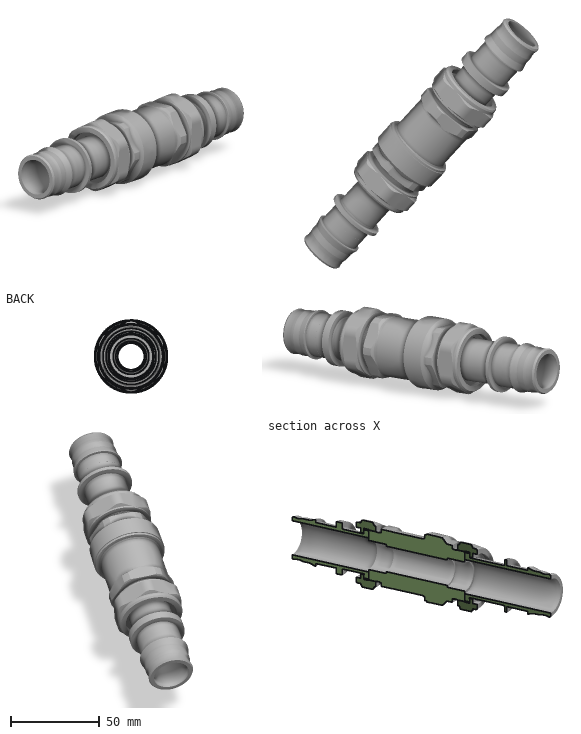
import cadquery as cq
import math


cos_30 = math.cos(math.pi / 6)

total_length = 176.02
tail_end_y = total_length / 2
body_centre_y = 3.25
hex_end = 24.3
nut_gap = 3.35
nut_length = 13.6
nut_inner_face = hex_end + nut_gap
nut_outer_face = nut_inner_face + nut_length

nut_flats = 37.0
nut_corner_radius = 6.5
nut_round_radius = nut_flats / 2
nut_corner_reach = nut_flats / 2 / cos_30
nut_corner_tip = nut_corner_reach - nut_corner_radius * (1 / cos_30 - 1)
nut_chamfer_length = 1.1
nut_inner_band = 1.0
nut_outer_band = 2.9
nut_edge_length = 1.0
nut_edge_height = 0.6
nut_recess_radius = 30.0 / 2
nut_recess_depth = 3.0
nut_lip_length = 2.5
nut_lip_radius = 24.77 / 2

thread_radius = 30.5 / 2
collar_radius = 29.52 / 2
collar_length = 3.0
nut_shoulder = nut_outer_face - nut_recess_depth - nut_lip_length
seat_plane = nut_shoulder - collar_length

tail_bore_radius = 20.32 / 2
tail_tip_radius = 24.77 / 2
lip_radius = 26.11 / 2
lip_length = 1.1
waist_radius = 25.0 / 2
barb_start = 7.5
barb_cone_start = 11.7
barb_end = 16.1
barb_land = 0.6
barb_radius = 28.3 / 2
grip_radius = 25.09 / 2
seam_position = 22.9
root_radius = 25.0 / 2
flange_start = 29.75
flange_radius = 31.75 / 2
front_flange_width = 2.0
rear_flange_width = 4.5
root_cone_length = 0.9
stem_radius = 24.38 / 2

barrel_radius = 34.56 / 2
body_flats = 34.65
body_corner_width = 37.8
body_corner_fillet = 1.5
body_hex_bevel = 0.4
body_hex_bevel_depth = 0.8
neck_radius = 30.0 / 2
neck_collar_length = 0.9
neck_thread_start = 2.9
body_end_bore_radius = 17.3 / 2
body_throat_radius = 15.1 / 2
body_end_bore_depth = 12.0

rear_hex_start = 18.6
rear_cone_knee = 17.1
rear_knee_radius = 17.4
rear_cone_end = 16.2
ring_radius = 41.38 / 2
ring_middle_radius = 41.3 / 2
ring_front_radius = 41.0 / 2
ring_shoulder_radius = 20.1
ring_back = -5.25
ring_shoulder_length = 1.3
ring_front = -17.45
ring_cone_knee = -18.9
ring_knee_radius = 19.0
ring_cone_end = -20.6
ring_foot_size = 0.75


def revolve_about_y(outline):
    return outline.close().revolve(360, (0, 0, 0), (0, 1, 0))


def lathe(profile):
    """Solid of revolution about Y from (radius, y) points."""
    return revolve_about_y(cq.Workplane("XY").polyline(profile))


def y_cylinder(radius, start, end):
    return cq.Workplane("XZ", origin=(0, start, 0)).circle(radius).extrude(start - end)


def hex_prism(flats, corner_angle, start, end):
    """Hexagonal bar along Y with a corner at corner_angle degrees from +X."""
    corner_diameter = flats / cos_30
    bar = cq.Workplane("XZ", origin=(0, start, 0)).polygon(6, corner_diameter).extrude(start - end)
    return bar.rotate((0, 0, 0), (0, 1, 0), corner_angle)


def place(part, side):
    """Move a part, built on the +Y side of the body centre, to its side of the body."""
    if side < 0:
        part = part.mirror("XZ")
    return part.translate((0, body_centre_y, 0))


def make_nut(side):
    prism = hex_prism(nut_flats, 90, nut_inner_face, nut_outer_face)
    prism = prism.edges("|Y").fillet(nut_corner_radius)
    inner_cone = nut_inner_face + nut_inner_band
    outer_cone = nut_outer_face - nut_outer_band
    turned = lathe([
        (0, nut_inner_face),
        (nut_round_radius, nut_inner_face),
        (nut_round_radius, inner_cone),
        (nut_corner_tip, inner_cone + nut_chamfer_length),
        (nut_corner_tip, outer_cone - nut_chamfer_length),
        (nut_round_radius, outer_cone),
        (nut_round_radius, nut_outer_face - nut_edge_length),
        (nut_round_radius - nut_edge_height, nut_outer_face),
        (0, nut_outer_face),
    ])
    nut = prism.intersect(turned)
    nut = nut.cut(y_cylinder(thread_radius, nut_inner_face, nut_shoulder))
    nut = nut.cut(y_cylinder(nut_lip_radius, nut_shoulder, nut_outer_face))
    nut = nut.cut(y_cylinder(nut_recess_radius, nut_outer_face - nut_recess_depth, nut_outer_face))
    return place(nut, side)


def make_tail(side, flange_width):
    tip = tail_end_y - side * body_centre_y
    flange_end = flange_start + flange_width
    lip_y = tip - lip_length
    barb_y = tip - barb_start
    outline = (
        cq.Workplane("XY")
        .moveTo(tail_bore_radius, tip)
        .lineTo(tail_tip_radius, tip)
        .lineTo(lip_radius, lip_y)
        .threePointArc((waist_radius, (lip_y + barb_y) / 2), (lip_radius, barb_y))
        .lineTo(lip_radius, tip - barb_cone_start)
        .lineTo(barb_radius, tip - barb_end + barb_land)
        .lineTo(barb_radius, tip - barb_end)
        .lineTo(grip_radius, tip - barb_end)
        .lineTo(grip_radius, tip - seam_position)
        .lineTo(root_radius, tip - seam_position)
        .lineTo(root_radius, tip - flange_start)
        .lineTo(flange_radius, tip - flange_start)
        .lineTo(flange_radius, tip - flange_end)
        .lineTo(root_radius, tip - flange_end)
        .lineTo(stem_radius, tip - flange_end - root_cone_length)
        .lineTo(stem_radius, nut_shoulder)
        .lineTo(collar_radius, nut_shoulder)
        .lineTo(collar_radius, seat_plane)
        .lineTo(tail_bore_radius, seat_plane)
    )
    return place(revolve_about_y(outline), side)


def make_body_hex(start, end, trim):
    """Hexagon with flattened, softened corners, trimmed by a turned outline."""
    prism = hex_prism(body_flats, 0, start, end)
    flattened = hex_prism(body_corner_width, 30, start, end)
    prism = prism.intersect(flattened).edges("|Y").fillet(body_corner_fillet)
    return prism.intersect(lathe(trim))


def make_body():
    corner = body_corner_width / 2
    rear_hex = make_body_hex(rear_cone_end, hex_end, [
        (0, rear_cone_end),
        (barrel_radius, rear_cone_end),
        (rear_knee_radius, rear_cone_knee),
        (corner, rear_hex_start),
        (corner, hex_end - body_hex_bevel),
        (corner - body_hex_bevel_depth, hex_end),
        (0, hex_end),
    ])
    front_hex = make_body_hex(-hex_end, ring_front, [
        (0, -hex_end),
        (corner - body_hex_bevel_depth, -hex_end),
        (corner, -hex_end + body_hex_bevel),
        (corner, ring_front),
        (0, ring_front),
    ])
    ring_rim_start = ring_back - ring_shoulder_length
    ring_middle = (ring_rim_start + ring_front) / 2
    outline = (
        cq.Workplane("XY")
        .moveTo(0, ring_cone_end)
        .lineTo(barrel_radius, ring_cone_end)
        .lineTo(ring_knee_radius, ring_cone_knee)
        .lineTo(ring_front_radius, ring_front)
        .threePointArc((ring_middle_radius, ring_middle), (ring_radius, ring_rim_start))
        .lineTo(ring_shoulder_radius, ring_rim_start)
        .lineTo(ring_shoulder_radius, ring_back)
        .lineTo(barrel_radius + ring_foot_size, ring_back)
        .lineTo(barrel_radius, ring_back + ring_foot_size)
        .lineTo(barrel_radius, rear_cone_end)
        .lineTo(0, rear_cone_end)
    )
    shell = revolve_about_y(outline)
    body = shell.union(rear_hex).union(front_hex)
    for side in (1, -1):
        neck = lathe([
            (0, side * (hex_end - neck_collar_length)),
            (thread_radius, side * (hex_end - neck_collar_length)),
            (thread_radius, side * (hex_end + neck_collar_length)),
            (neck_radius, side * (hex_end + neck_collar_length)),
            (neck_radius, side * (hex_end + neck_thread_start)),
            (thread_radius, side * (hex_end + neck_thread_start)),
            (thread_radius, side * seat_plane),
            (0, side * seat_plane),
        ])
        body = body.union(neck)
    body = body.cut(y_cylinder(body_throat_radius, -seat_plane, seat_plane))
    for side in (1, -1):
        bore_bottom = side * (seat_plane - body_end_bore_depth)
        body = body.cut(y_cylinder(body_end_bore_radius, bore_bottom, side * seat_plane))
    return place(body, 1)


valve_body = make_body()
nuts = [make_nut(side) for side in (1, -1)]
rear_tail = make_tail(1, rear_flange_width)
front_tail = make_tail(-1, front_flange_width)

result = cq.Compound.makeCompound([
    valve_body.val(),
    *[nut.val() for nut in nuts],
    rear_tail.val(),
    front_tail.val(),
])